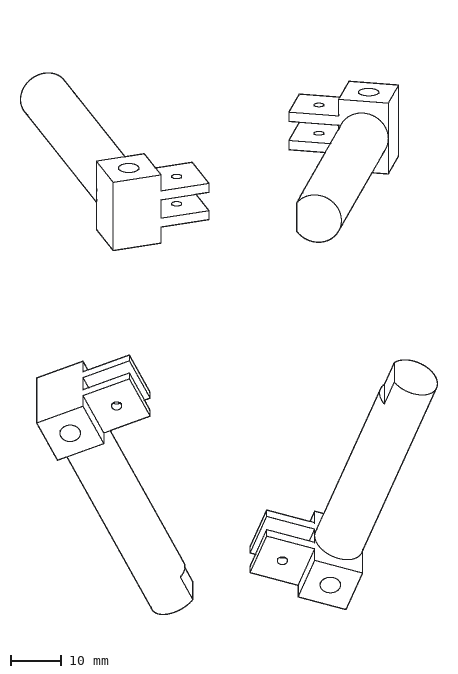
import cadquery as cq

total_length = 55.0
head_width = 10.0
head_height = 15.0
shaft_diameter = head_width
shaft_length = total_length - head_width

flat_length = 6.0
flat_depth = 1.0

tab_length = head_width
tab_thickness = 2.0
tab_gap = 4.0

head_hole_diameter = 4.0
tab_hole_diameter = 2.0

head_center_x = shaft_length + head_width / 2
head_back_y = head_width / 2


def make_shaft():
    shaft = cq.Workplane("YZ").circle(shaft_diameter / 2).extrude(shaft_length)
    flat_cut = cq.Workplane("XY").box(
        flat_length, flat_depth, shaft_diameter, centered=(False, False, True)
    )
    return shaft.cut(flat_cut.translate((0, shaft_diameter / 2 - flat_depth, 0)))


def make_head():
    head = cq.Workplane("XY").box(head_width, head_width, head_height)
    return head.translate((head_center_x, 0, 0))


def make_tab(side):
    """Tab above (side = 1) or below (side = -1) the shaft axis."""
    tab = cq.Workplane("XY").box(head_width, tab_length, tab_thickness)
    center_z = side * (tab_gap + tab_thickness) / 2
    return tab.translate((head_center_x, head_back_y + tab_length / 2, center_z))


def vertical_hole(diameter, y):
    hole = cq.Workplane("XY").circle(diameter / 2).extrude(head_height / 2, both=True)
    return hole.translate((head_center_x, y, 0))


body = make_shaft().union(make_head())
for side in (1, -1):
    body = body.union(make_tab(side))

body = body.cut(vertical_hole(head_hole_diameter, 0))
result = body.cut(vertical_hole(tab_hole_diameter, head_back_y + tab_length / 2))